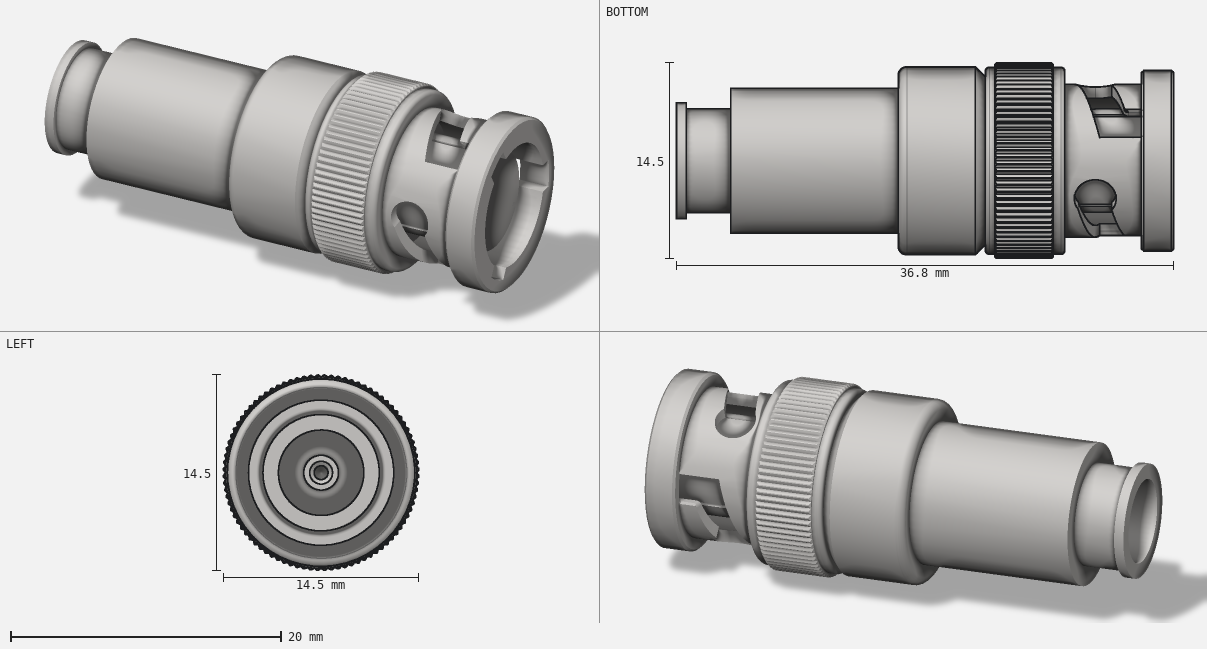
import cadquery as cq
import math


length = 36.83
lip_end = 0.75
lip_radius = 4.3
neck_radius = 3.85
barrel_start = 4.0
barrel_radius = 5.38
collar_start = 16.43
collar_radius = 6.95
collar_fillet = 0.63
collar_chamfer = 0.75
cable_bore_radius = 3.15
cable_bore_depth = 14.75

cup_radius = 1.3
cup_height = 0.75
cup_mouth_radius = 0.85
cup_hole_radius = 0.5
cup_hole_depth = 1.47

core_radius = 3.83
core_end = 35.3
core_slit_width = 0.3
core_slit_depth = 0.6

nut_start = 22.87
shoulder_radius = 6.92
shoulder_end = 28.75
shoulder_fillet = 0.3
sleeve_radius = 5.67
sleeve_bore_radius = 4.8
rim_start = 34.45
rim_radius = 6.7
rim_chamfer = 0.2

knurl_start = 23.57
knurl_end = 27.9
knurl_radius = 7.237
knurl_valley_radius = 7.07
knurl_teeth = 88
knurl_crest_share = 0.15
knurl_chamfer = 0.15

slot_count = 3
slot_pitch_angle = 360 / slot_count
seat_x = 31.0
seat_radius = 1.55
slot_width = 2.4
ramp_start = 29.5
ramp_lead = 9.15
entry_angle = 60.0
entry_fillet = 0.35
lug_channel_width = 2.25

cutter_overlap = 0.35
slot_outer_radius = sleeve_radius + cutter_overlap
slot_inner_radius = sleeve_bore_radius - cutter_overlap
entry_half_angle = math.degrees(math.asin(slot_width / 2 / sleeve_radius))
ramp_end_angle = entry_angle + entry_half_angle
ramp_height = ramp_lead * ramp_end_angle / 360
ramp_width = slot_width * math.hypot(1, ramp_lead / (2 * math.pi * sleeve_radius))


def turned(points):
    """Revolve a closed (x, radius) outline about the X axis."""
    return cq.Workplane("XY").polyline(points).close().revolve(360, (0, 0, 0), (1, 0, 0))


def tube(start, end, outer, inner):
    return turned([(start, inner), (end, inner), (end, outer), (start, outer)])


def around_axis(shape):
    """One copy of a shape for each bayonet slot, spaced evenly around the X axis."""
    return [shape.rotate((0, 0, 0), (1, 0, 0), i * slot_pitch_angle) for i in range(slot_count)]


def make_collar():
    collar = turned([
        (collar_start, 0),
        (collar_start, collar_radius),
        (nut_start - collar_chamfer, collar_radius),
        (nut_start, collar_radius - collar_chamfer),
        (nut_start, 0),
    ])
    return collar.faces("<X").edges().fillet(collar_fillet)


def make_cable_bore():
    """Cable bore with the solder cup left standing on its floor."""
    cup_top = cable_bore_depth - cup_height
    mouth_depth = cup_mouth_radius - cup_hole_radius
    hole_end = cup_top + cup_hole_depth
    return turned([
        (0, 0),
        (0, cable_bore_radius),
        (cable_bore_depth, cable_bore_radius),
        (cable_bore_depth, cup_radius),
        (cup_top, cup_radius),
        (cup_top, cup_mouth_radius),
        (cup_top + mouth_depth, cup_hole_radius),
        (hole_end, cup_hole_radius),
        (hole_end + cup_hole_radius, 0),
    ])


def make_core_slits():
    slit = (
        cq.Workplane("XY")
        .box(core_end - shoulder_end, core_slit_width, 2 * core_slit_depth, centered=(False, True, True))
        .translate((shoulder_end, 0, core_radius))
    )
    return around_axis(slit)


def make_rear_body():
    body = turned([
        (0, 0),
        (0, lip_radius),
        (lip_end, lip_radius),
        (lip_end, neck_radius),
        (barrel_start, neck_radius),
        (barrel_start, barrel_radius),
        (collar_start, barrel_radius),
        (collar_start, core_radius),
        (core_end, core_radius),
        (core_end, 0),
    ])
    body = body.union(make_collar()).cut(make_cable_bore())
    for slit in make_core_slits():
        body = body.cut(slit)
    return body


def make_knurl():
    """Pointed-valley teeth with narrow flat crests, chamfered at both ends."""
    pitch = 2 * math.pi / knurl_teeth
    half_crest = knurl_crest_share * pitch / 2
    outline = []
    for i in range(knurl_teeth):
        crest = (i + 0.5) * pitch
        for radius, angle in (
            (knurl_valley_radius, i * pitch),
            (knurl_radius, crest - half_crest),
            (knurl_radius, crest + half_crest),
        ):
            outline.append((radius * math.cos(angle), radius * math.sin(angle)))
    teeth = cq.Workplane("YZ", origin=(knurl_start, 0, 0)).polyline(outline).close()
    teeth = teeth.extrude(knurl_end - knurl_start)
    envelope = tube(knurl_start, knurl_end, knurl_radius, core_radius)
    outer_edges = envelope.edges("%CIRCLE").edges(cq.selectors.RadiusNthSelector(-1))
    return teeth.intersect(outer_edges.chamfer(knurl_chamfer))


def make_seat_cutter():
    """Round seat whose walls point at the connector axis, so it narrows across the axis on the way in."""
    half_angle = seat_radius / sleeve_radius
    return (
        cq.Workplane("XZ", origin=(seat_x, 0, 0))
        .workplane(offset=slot_inner_radius * math.cos(half_angle))
        .ellipse(seat_radius, slot_inner_radius * math.sin(half_angle))
        .workplane(offset=(slot_outer_radius - slot_inner_radius) * math.cos(half_angle))
        .ellipse(seat_radius, slot_outer_radius * math.sin(half_angle))
        .loft(ruled=True)
    )


def make_ramp_cutter():
    """A rectangle swept along a helix, starting at the seat and ending at the far wall of the entry."""
    frame = cq.Plane(origin=(ramp_start, 0, 0), xDir=(0, -1, 0), normal=(1, 0, 0))
    helix = cq.Wire.makeHelix(ramp_lead, ramp_height, sleeve_radius)
    ramp = (
        cq.Workplane("XZ")
        .moveTo(slot_inner_radius, 0)
        .rect(slot_outer_radius - slot_inner_radius, ramp_width, centered=False)
        .sweep(helix, isFrenet=True)
    )
    return cq.Workplane(ramp.val().moved(cq.Location(frame)))


def make_entry_cutter():
    """Sector with radial walls, from the end of the ramp to the rim."""
    sector = (
        cq.Workplane("XY")
        .moveTo(ramp_start + ramp_height, slot_inner_radius)
        .lineTo(rim_start, slot_inner_radius)
        .lineTo(rim_start, slot_outer_radius)
        .lineTo(ramp_start + ramp_height, slot_outer_radius)
        .close()
        .revolve(2 * entry_half_angle, (0, 0, 0), (1, 0, 0))
    )
    return sector.rotate((0, 0, 0), (1, 0, 0), 180 + entry_angle - entry_half_angle)


def make_lug_channel():
    """Flat-walled groove that lets a lug pass under the rim into the slot."""
    start = ramp_start + ramp_height
    channel = (
        cq.Workplane("XY")
        .box(length - start, sleeve_radius, lug_channel_width, centered=(False, False, True))
        .translate((start, 0, 0))
        .intersect(tube(start, length, sleeve_radius, slot_inner_radius))
    )
    return channel.rotate((0, 0, 0), (1, 0, 0), 180 + entry_angle)


def cut_slots(nut):
    for make_cutter in (make_seat_cutter, make_ramp_cutter, make_entry_cutter, make_lug_channel):
        for cutter in around_axis(make_cutter()):
            nut = nut.cut(cutter)
    return nut


def round_entry_corners(nut):
    """Round the radial edge where the ramp turns into the straight entry."""
    corner_angle = entry_angle - entry_half_angle
    corner_x = ramp_start + ramp_width + ramp_lead * corner_angle / 360
    mid_radius = (sleeve_radius + sleeve_bore_radius) / 2
    for i in range(slot_count):
        angle = math.radians(180 + corner_angle + i * slot_pitch_angle)
        corner = (corner_x, mid_radius * math.cos(angle), mid_radius * math.sin(angle))
        nut = nut.edges(cq.selectors.NearestToPointSelector(corner)).fillet(entry_fillet)
    return nut


def make_nut():
    shoulder = tube(nut_start, shoulder_end, shoulder_radius, core_radius)
    shoulder = shoulder.edges(cq.selectors.RadiusNthSelector(-1)).fillet(shoulder_fillet)
    rim = tube(rim_start, length, rim_radius, sleeve_bore_radius)
    rim = rim.edges(cq.selectors.RadiusNthSelector(-1)).chamfer(rim_chamfer)
    sleeve = tube(shoulder_end, rim_start, sleeve_radius, sleeve_bore_radius)
    nut = cut_slots(shoulder.union(make_knurl()).union(sleeve).union(rim))
    return round_entry_corners(nut)


rear_body = make_rear_body()
nut = make_nut()
result = cq.Compound.makeCompound([rear_body.val(), nut.val()])